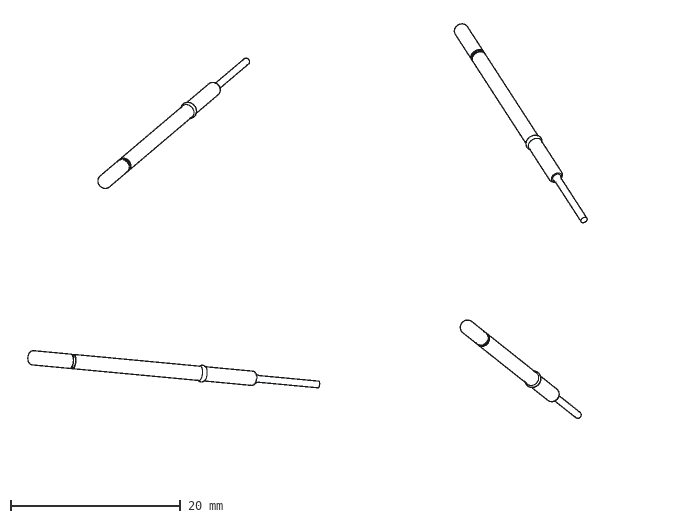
import cadquery as cq

length = 37.3
plunger_radius = 0.4
collar_radius = 0.505
body_radius = 0.85
ring_radius = 1.0
nose_fillet = 0.5

groove_start = 5.35
groove_width = 0.3
groove_depth = 0.1

ring_center = 22.25
ring_width = 0.6

mouth_y = 29.05
mouth_radius = 0.67
mouth_roll_length = 0.35
mouth_roll_sag = 0.05
collar_end = 29.28
taper_end = 29.58


def cylinder(radius, start, end):
    """Round bar on the Y axis from start to end."""
    return cq.Workplane("XZ", origin=(0, start, 0)).circle(radius).extrude(start - end)


def make_body():
    """Barrel with rounded nose, groove, press ring and rolled mouth, as one revolved profile."""
    groove_end = groove_start + groove_width
    groove_radius = body_radius - groove_depth
    ring_start = ring_center - ring_width / 2
    ring_end = ring_center + ring_width / 2
    roll_start = mouth_y - mouth_roll_length
    roll_middle = (
        (body_radius + mouth_radius) / 2 + mouth_roll_sag,
        (roll_start + mouth_y) / 2 + mouth_roll_sag,
    )
    profile = (
        cq.Workplane("XY")
        .lineTo(body_radius - nose_fillet, 0)
        .radiusArc((body_radius, nose_fillet), -nose_fillet)
        .lineTo(body_radius, groove_start)
        .lineTo(groove_radius, groove_start)
        .lineTo(groove_radius, groove_end)
        .lineTo(body_radius, groove_end)
        .lineTo(body_radius, ring_start)
        .threePointArc((ring_radius, ring_center), (body_radius, ring_end))
        .lineTo(body_radius, roll_start)
        .threePointArc(roll_middle, (mouth_radius, mouth_y))
        .lineTo(0, mouth_y)
        .close()
    )
    return profile.revolve(360, (0, 0, 0), (0, 1, 0))


body = make_body()
collar = cylinder(collar_radius, mouth_y, collar_end)
taper = cq.Workplane(
    cq.Solid.makeCone(
        collar_radius,
        plunger_radius,
        taper_end - collar_end,
        cq.Vector(0, collar_end, 0),
        cq.Vector(0, 1, 0),
    )
)
plunger = cylinder(plunger_radius, taper_end, length)
result = body.union(collar).union(taper).union(plunger)